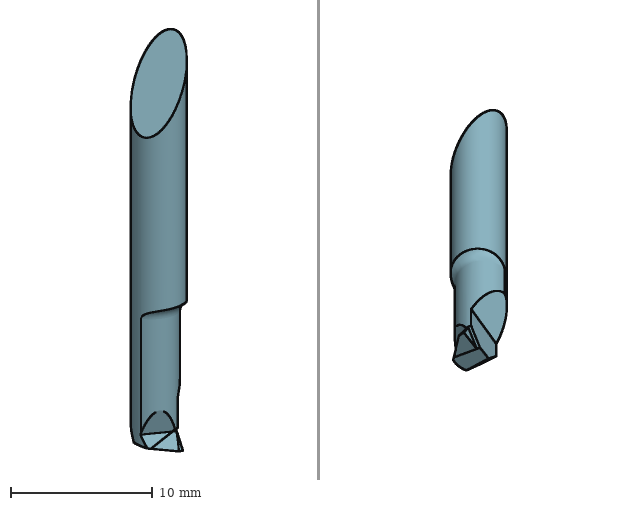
import cadquery as cq
import math


LENGTH = 30.7
RADIUS = 2.0
END_ANGLE = 60.0
END_RISE = math.tan(math.radians(END_ANGLE))
MARGIN = 1.55

NECK_OFFSET = 0.55
NECK_TOP = 11.1
RUNOUT_RADIUS = 0.98
FLARE_TOP = 1.47

BACK_Y = 0.25
BACK_TOP = 3.8
SIDE_BOTTOM_X = -0.95
SIDE_BOTTOM_Z = 0.4
END_SLOPE_X = 0.13
END_SLOPE_Y = 0.11

GROOVE_FRONT = cq.Vector(-0.35, -1.97, 1.38)
GROOVE_BACK = cq.Vector(1.23, -0.3, 1.38)
GROOVE_TOP = cq.Vector(1.07, -1.2, 3.25)
TIP = cq.Vector(RADIUS, 0.0, 0.0)
RAKE_TIP = cq.Vector(RADIUS, -0.43, 0.0)

JOINT_LOW = (0.5, 0.5)
JOINT_HIGH = (1.2, 1.3)
JOINT_SLOPE = (JOINT_HIGH[1] - JOINT_LOW[1]) / (JOINT_HIGH[0] - JOINT_LOW[0])

BLOCK = 12.28


def half_space(point, normal):
    """Block lying on the side of a plane that its normal points to."""
    plane = cq.Plane(origin=point.toTuple(), normal=normal.toTuple())
    return cq.Workplane(plane).rect(BLOCK, BLOCK).extrude(BLOCK)


def prism(plane, points):
    """Profile extruded to both sides of the axis, wider than the bar."""
    return cq.Workplane(plane).polyline(points).close().extrude(RADIUS + MARGIN, both=True)


def make_shank():
    reach = RADIUS + MARGIN
    upper_end = prism("YZ", [
        (-reach, LENGTH - (RADIUS + reach) * END_RISE),
        (reach, LENGTH + MARGIN * END_RISE),
        (-reach, LENGTH + MARGIN * END_RISE),
    ])
    round_bar = cq.Workplane("XY").circle(RADIUS).extrude(LENGTH).rotate((0, 0, 0), (0, 0, 1), 180)
    return round_bar.cut(upper_end)


def neck_clearance():
    """Space around the shifted round, with the top run-out and the flare toward the tip."""
    reach = 2 * RADIUS
    runout_angle = math.radians(45)
    runout_bottom = NECK_TOP - RUNOUT_RADIUS
    mid_x = RADIUS + RUNOUT_RADIUS * (1 - math.cos(runout_angle))
    mid_z = runout_bottom + RUNOUT_RADIUS * math.sin(runout_angle)
    profile = (
        cq.Workplane("XZ")
        .moveTo(RADIUS, FLARE_TOP)
        .lineTo(RADIUS, runout_bottom)
        .threePointArc((mid_x, mid_z), (RADIUS + RUNOUT_RADIUS, NECK_TOP))
        .lineTo(reach, NECK_TOP)
        .lineTo(reach, 0)
        .lineTo(RADIUS + NECK_OFFSET, 0)
        .close()
    )
    ring = profile.revolve(360, (0, 0, 0), (0, 1, 0))
    return ring.rotate((0, 0, 0), (0, 0, 1), 180).translate((-NECK_OFFSET, 0, 0))


def back_relief():
    """Slope down the +Y side, ending in an upright flat."""
    reach = RADIUS + MARGIN
    return prism("YZ", [
        (BACK_Y, -MARGIN),
        (BACK_Y, BACK_TOP),
        (reach, BACK_TOP + (reach - BACK_Y) * END_RISE),
        (reach, -MARGIN),
    ])


def side_relief():
    """Slope across the -X side of the lower end."""
    corner = cq.Vector(SIDE_BOTTOM_X, 0, SIDE_BOTTOM_Z)
    return half_space(corner, cq.Vector(-END_RISE, 0, -1))


def end_relief():
    """Lower end face, lowest at the cutting tip."""
    return half_space(TIP, cq.Vector(-END_SLOPE_X, -END_SLOPE_Y, -1))


def chip_groove():
    """Wedge between the upper groove face and the rake face."""
    along = GROOVE_BACK - GROOVE_FRONT
    upper_normal = along.cross(GROOVE_TOP - GROOVE_FRONT)
    rake_normal = (RAKE_TIP - GROOVE_FRONT).cross(along)
    return half_space(GROOVE_FRONT, upper_normal).intersect(half_space(GROOVE_FRONT, rake_normal))


def corner_region():
    """Region on the +X side of the joint, below the neck."""
    joint = cq.Vector(JOINT_LOW[0], 0, JOINT_LOW[1])
    return half_space(joint, cq.Vector(JOINT_SLOPE, 0, -1))


def corner_back():
    """Space behind the cutting corner, whose back is upright at the bar axis."""
    return half_space(cq.Vector(0, 0, 0), cq.Vector(0, 1, 0))


tool = (
    make_shank()
    .cut(neck_clearance())
    .cut(back_relief())
    .cut(side_relief())
    .cut(end_relief())
    .cut(chip_groove())
)
bar = tool.cut(corner_region())
cutting_corner = tool.intersect(corner_region()).cut(corner_back())

result = cq.Compound.makeCompound([bar.val(), cutting_corner.val()])